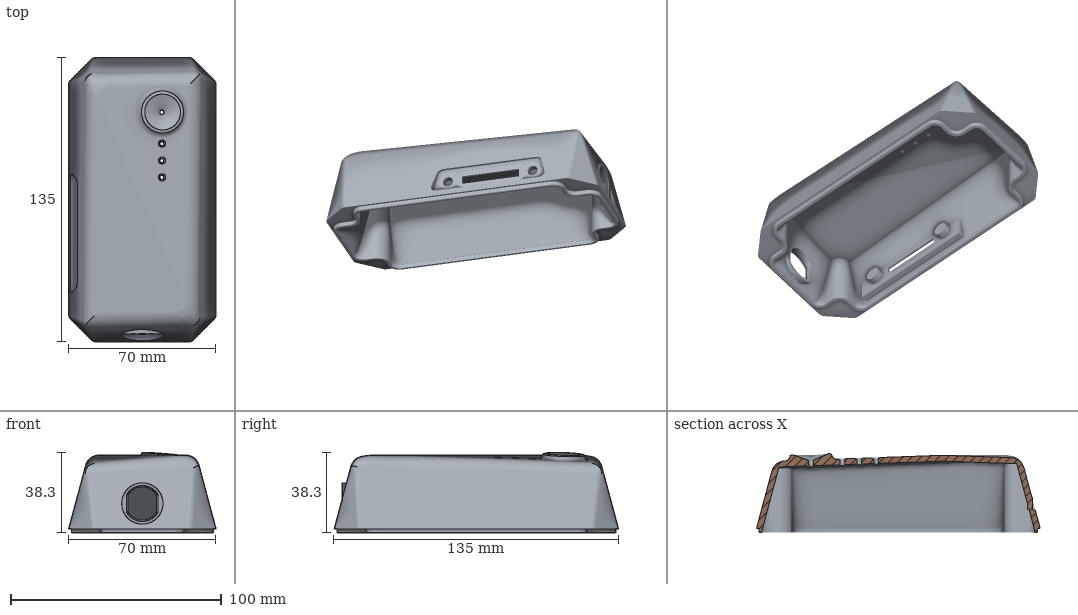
import cadquery as cq
import math

LENGTH = 135.0
WIDTH = 70.0
DRAFT = 15.0
LIP_HEIGHT = 2.0
RIDGE_Z = 37.0
ROOF_SLOPE = 5.0
WALL = 3.0
EDGE_RADIUS = 7.0

CORNER_CUT = 11.7
LOW_FACET_LEAN = 6.5
RIDGE_FACET_LEAN = 8.6
FACET_RADIUS = 3.0

LIP_INSET = 1.3
LIP_WALL = 1.7
LIP_NOTCH = 14.0
LIP_CONVEX_RADIUS = 5.7
LIP_CONCAVE_RADIUS = 4.3
LIP_CHAMFER = 0.3

BUTTON_X = 9.4
BUTTON_Y = 41.5
BUTTON_BASE_RADIUS = 11.8
BUTTON_NECK_RADIUS = 10.0
BUTTON_RIM_RADIUS = 8.5
BUTTON_HEIGHT = 2.75
BUTTON_NECK_HEIGHT = 2.3
BUTTON_FLARE_RADIUS = 2.4
BUTTON_CROWN_RADIUS = 2.7
BUTTON_DISH_DEPTH = 3.5
BUTTON_HOLE_DIAMETER = 2.0

LIGHT_Y = (26.6, 18.6, 10.6)
LIGHT_DIAMETER = 2.0
LIGHT_RECESS_DIAMETER = 3.4
LIGHT_RECESS_DEPTH = 0.5

PORT_Z = 14.0
PORT_FACE_Y = -63.7
PORT_FACE_DIAMETER = 19.6
PORT_DIAMETER = 15.8
PORT_FLAT_WIDTH = 13.6
PORT_CHAMFER = 0.65
PORT_BOSS_DEPTH = 2.5

POCKET_Y = -15.9
POCKET_FLOOR_X = -29.4
POCKET_BOTTOM_Z = 4.9
POCKET_TOP_Z = 17.4
POCKET_BOTTOM_WIDTH = 58.0
POCKET_TOP_WIDTH = 50.6
POCKET_TOP_RADIUS = 3.0
POCKET_BOTTOM_RADIUS = 2.5
POCKET_BACKING = 1.2

CONNECTOR_Z = 11.1
CONNECTOR_LENGTH = 34.3
CONNECTOR_HEIGHT = 9.4
CONNECTOR_RADIUS = 2.2
CONNECTOR_RECESS = 0.1
SLOT_LENGTH = 28.3
SLOT_HEIGHT = 3.9
SCREW_SPACING = 42.0
SCREW_DIAMETER = 4.9
SCREW_DEPTH = 3.5
SCREW_BOSS_WALL = 1.0

LEAN = math.tan(math.radians(DRAFT))
FAR = 2 * LENGTH
CAVITY_INSET = WALL / math.cos(math.radians(DRAFT))
THROUGH_DEPTH = 3 * WALL
PICK_MARGIN = 1.0

RIDGE_SPAN_X = WIDTH / 2 - (RIDGE_Z - LIP_HEIGHT) * LEAN
RIDGE_SPAN_Y = LENGTH / 2 - (RIDGE_Z - LIP_HEIGHT) * LEAN
RIDGE_DIRECTION = cq.Vector(RIDGE_SPAN_X, -RIDGE_SPAN_Y, 0).normalized()
DOWNHILL = cq.Vector(-RIDGE_DIRECTION.y, RIDGE_DIRECTION.x, 0)
ROOF_TILT = math.radians(ROOF_SLOPE)


def cutting_block(origin, x_direction, normal):
    """Large block filling the space on the normal side of a plane."""
    plane = cq.Plane(origin=origin, xDir=x_direction, normal=normal)
    return cq.Workplane(plane).rect(FAR, FAR).extrude(FAR)


def roof_normal(side):
    """Upward normal of the roof half on the +X +Y side (1) or the -X -Y side (-1)."""
    return DOWNHILL * (side * math.sin(ROOF_TILT)) + cq.Vector(0, 0, math.cos(ROOF_TILT))


def drafted_block(inset, roof_drop):
    """Four leaning walls under the two roof halves."""
    block = (
        cq.Workplane("XY", origin=(0, 0, LIP_HEIGHT))
        .rect(WIDTH - 2 * inset, LENGTH - 2 * inset)
        .extrude(RIDGE_Z, taper=DRAFT)
    )
    for side in (1, -1):
        block = block.cut(
            cutting_block((0, 0, RIDGE_Z - roof_drop), RIDGE_DIRECTION, roof_normal(side))
        )
    return block


def cut_corner_facets(block, depth):
    """Slice the four vertical corners with leaning 45 degree planes, moved in by depth."""
    for side_x in (1, -1):
        for side_y in (1, -1):
            lean = math.radians(LOW_FACET_LEAN if side_x == side_y else RIDGE_FACET_LEAN)
            level = math.cos(lean) / math.sqrt(2)
            normal = cq.Vector(side_x * level, side_y * level, math.sin(lean))
            middle = cq.Vector(
                side_x * (WIDTH - CORNER_CUT) / 2, side_y * (LENGTH - CORNER_CUT) / 2, LIP_HEIGHT
            )
            block = block.cut(
                cutting_block(middle - normal * depth, (-side_y, side_x, 0), normal)
            )
    return block


def outer_body():
    """Outside of the shell: rounded roof edges, then the corner facets with eased edges."""
    middle_z = (LIP_HEIGHT + RIDGE_Z) / 2
    above_middle = cq.selectors.BoxSelector(
        (-WIDTH, -LENGTH, middle_z + PICK_MARGIN), (WIDTH, LENGTH, FAR)
    )
    ridge_middle = cq.selectors.BoxSelector(
        (-PICK_MARGIN, -PICK_MARGIN, middle_z), (PICK_MARGIN, PICK_MARGIN, FAR)
    )
    upright_middles = cq.selectors.BoxSelector(
        (-WIDTH, -LENGTH, LIP_HEIGHT + PICK_MARGIN), (WIDTH, LENGTH, middle_z)
    )
    block = drafted_block(0, 0)
    block = block.edges(above_middle - ridge_middle).fillet(EDGE_RADIUS)
    block = cut_corner_facets(block, 0)
    return block.edges(upright_middles).fillet(FACET_RADIUS)


def notched_outline(inset, convex_radius, concave_radius, height):
    """Upright block whose rectangle has a rounded square notch in each corner."""
    half_x = WIDTH / 2 - inset
    half_y = LENGTH / 2 - inset
    notch_x = half_x - LIP_NOTCH
    notch_y = half_y - LIP_NOTCH
    long_bar = cq.Workplane("XY").rect(2 * notch_x, 2 * half_y).extrude(height)
    cross_bar = cq.Workplane("XY").rect(2 * half_x, 2 * notch_y).extrude(height)
    block = long_bar.union(cross_bar)
    inner_box = cq.selectors.BoxSelector(
        (-notch_x - PICK_MARGIN, -notch_y - PICK_MARGIN, 0),
        (notch_x + PICK_MARGIN, notch_y + PICK_MARGIN, height),
    )
    inner_edges = block.edges("|Z").edges(inner_box).vals()
    outer_edges = [edge for edge in block.edges("|Z").vals() if edge not in inner_edges]
    rounded = block.newObject(outer_edges).fillet(convex_radius)
    return rounded.edges("|Z").edges(inner_box).fillet(concave_radius)


def lip():
    """Notched spigot under the shoulder with a small bottom chamfer."""
    block = notched_outline(LIP_INSET, LIP_CONVEX_RADIUS, LIP_CONCAVE_RADIUS, LIP_HEIGHT)
    return block.faces("<Z").chamfer(LIP_CHAMFER)


def cavity():
    """Inside of the shell, open at the bottom, leaving solid posts over the lip notches."""
    inset = LIP_INSET + LIP_WALL
    column = notched_outline(
        inset, LIP_CONVEX_RADIUS - LIP_WALL, LIP_CONCAVE_RADIUS + LIP_WALL, RIDGE_Z
    )
    opening = column.intersect(cq.Workplane("XY").box(FAR, FAR, 2 * LIP_HEIGHT))
    chamber = cut_corner_facets(drafted_block(CAVITY_INSET, WALL), WALL)
    return column.intersect(chamber).union(opening)


def roof_plane(x, y):
    """Plane lying on the +X +Y roof half, with its origin above (x, y)."""
    normal = roof_normal(1)
    z = RIDGE_Z - (x * normal.x + y * normal.y) / normal.z
    return cq.Plane(origin=(x, y, z), xDir=RIDGE_DIRECTION, normal=normal)


def button():
    """Flared round button on the roof, with a stub that roots it in the shell."""
    root_depth = WALL / 2
    profile = (
        cq.Workplane(roof_plane(BUTTON_X, BUTTON_Y))
        .transformed(rotate=(90, 0, 0))
        .moveTo(0, -root_depth)
        .lineTo(BUTTON_BASE_RADIUS, -root_depth)
        .lineTo(BUTTON_BASE_RADIUS, 0)
        .radiusArc((BUTTON_NECK_RADIUS, BUTTON_NECK_HEIGHT), BUTTON_FLARE_RADIUS)
        .radiusArc((BUTTON_RIM_RADIUS, BUTTON_HEIGHT), -BUTTON_CROWN_RADIUS)
        .lineTo(0, BUTTON_HEIGHT)
        .close()
    )
    return profile.revolve(360, (0, 0, 0), (0, 1, 0))


def button_dish():
    """Conical dish in the button and the small hole at its centre."""
    cone = cq.Solid.makeCone(0, BUTTON_RIM_RADIUS, BUTTON_DISH_DEPTH)
    plane = roof_plane(BUTTON_X, BUTTON_Y)
    cone = cone.translate(cq.Vector(0, 0, BUTTON_HEIGHT - BUTTON_DISH_DEPTH))
    hole = cq.Workplane(plane).circle(BUTTON_HOLE_DIAMETER / 2).extrude(-THROUGH_DEPTH)
    return cq.Workplane(cone.moved(cq.Location(plane))).union(hole)


def light_holes():
    """Row of recessed indicator holes through the roof."""
    holes = cq.Workplane("XY")
    for y in LIGHT_Y:
        roof = cq.Workplane(roof_plane(BUTTON_X, y))
        holes = holes.add(roof.circle(LIGHT_DIAMETER / 2).extrude(-THROUGH_DEPTH))
        holes = holes.add(roof.circle(LIGHT_RECESS_DIAMETER / 2).extrude(-LIGHT_RECESS_DEPTH))
    return holes.combine()


def port_workplane():
    """Workplane on the port seat face, facing -Y."""
    return cq.Workplane("XZ", origin=(0, PORT_FACE_Y, PORT_Z))


def port_boss():
    """Round boss through the leaning wall, proud of it above the port centre."""
    return port_workplane().circle(PORT_FACE_DIAMETER / 2).extrude(-PORT_BOSS_DEPTH)


def port_recess():
    """Round recess that sinks into the leaning wall below the port centre."""
    return port_workplane().circle(PORT_FACE_DIAMETER / 2).extrude(FAR)


def flatted_disc(diameter, flat_width, depth):
    """Round plug running inward from the port face, with two vertical flats."""
    disc = port_workplane().circle(diameter / 2).extrude(-depth)
    return disc.intersect(port_workplane().rect(flat_width, FAR).extrude(-depth))


def port_hole():
    """Round hole with two vertical flats and a chamfered mouth."""
    hole = flatted_disc(PORT_DIAMETER, PORT_FLAT_WIDTH, THROUGH_DEPTH)
    mouth_depth = 2 * PORT_CHAMFER
    mouth = flatted_disc(
        PORT_DIAMETER + 2 * PORT_CHAMFER, PORT_FLAT_WIDTH + 2 * PORT_CHAMFER, mouth_depth
    )
    return hole.union(mouth.faces(">Y").chamfer(PORT_CHAMFER))


def pocket_workplane(z):
    """Workplane on the pocket floor, facing +X."""
    return cq.Workplane("YZ", origin=(POCKET_FLOOR_X, POCKET_Y, z))


def pocket():
    """Recess with a vertical floor, narrower at the top and open toward -X."""
    half_bottom = POCKET_BOTTOM_WIDTH / 2
    half_top = POCKET_TOP_WIDTH / 2
    height = POCKET_TOP_Z - POCKET_BOTTOM_Z
    outline = [(-half_bottom, 0), (half_bottom, 0), (half_top, height), (-half_top, height)]
    block = pocket_workplane(POCKET_BOTTOM_Z).polyline(outline).close().extrude(-WIDTH)
    block = block.edges("|X and >Z").fillet(POCKET_TOP_RADIUS)
    return block.edges("|X and <Z").fillet(POCKET_BOTTOM_RADIUS)


def pocket_backing():
    """Thickened side wall that keeps material behind the pocket."""
    height = POCKET_TOP_Z - POCKET_BOTTOM_Z + 2 * POCKET_BACKING
    middle_z = (POCKET_TOP_Z + POCKET_BOTTOM_Z) / 2
    pad = pocket_workplane(middle_z).workplane(offset=POCKET_BACKING)
    pad = pad.rect(POCKET_BOTTOM_WIDTH + 2 * POCKET_BACKING, height).extrude(-WIDTH)
    return pad.intersect(drafted_block(0, 0))


def connector_cuts():
    """Shallow face recess, slot into the shell and two blind screw holes."""
    face = pocket_workplane(CONNECTOR_Z)
    recess = face.rect(CONNECTOR_LENGTH, CONNECTOR_HEIGHT).extrude(CONNECTOR_RECESS)
    recess = recess.edges("|X").fillet(CONNECTOR_RADIUS)
    slot = face.rect(SLOT_LENGTH, SLOT_HEIGHT).extrude(THROUGH_DEPTH)
    screws = face.rarray(SCREW_SPACING, 1, 2, 1).circle(SCREW_DIAMETER / 2).extrude(SCREW_DEPTH)
    return recess.union(slot).union(screws)


def screw_bosses():
    """Round bosses inside the shell that back the blind screw holes."""
    radius = SCREW_DIAMETER / 2 + SCREW_BOSS_WALL
    face = pocket_workplane(CONNECTOR_Z)
    return face.rarray(SCREW_SPACING, 1, 2, 1).circle(radius).extrude(SCREW_DEPTH + SCREW_BOSS_WALL)


finished_shell = (
    outer_body()
    .union(lip())
    .union(button())
    .cut(port_recess())
    .cut(cavity())
    .union(port_boss())
    .union(pocket_backing())
    .union(screw_bosses())
    .cut(pocket())
    .cut(connector_cuts())
    .cut(port_hole())
    .cut(button_dish())
    .cut(light_holes())
)
result = cq.Workplane(finished_shell.solids().val())